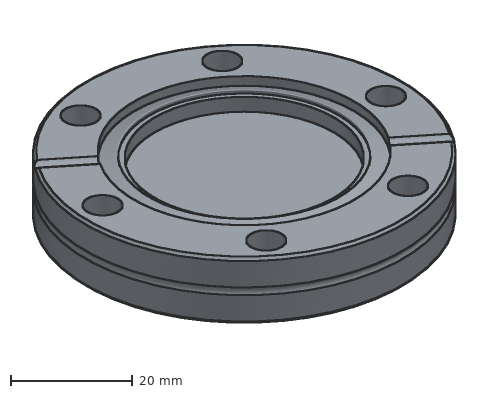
import cadquery as cq
import math

flange_diameter = 69.85
thickness = 12.7
edge_chamfer = 0.55

rim_groove_width = 1.5
rim_groove_depth = 0.2

recess_diameter = 48.4
recess_wall_depth = 1.85
knife_bore_diameter = 41.7
knife_tip_radius = 0.15
knife_slope = math.radians(20.0)
ledge_depth = 1.35
pocket_diameter = 39.5
pocket_depth = 4.2

bolt_count = 6
bolt_hole_diameter = 6.6
bolt_circle_diameter = 58.7

channel_width = 2.5
channel_depth = 0.6
channel_angles = (30.0, 210.0)

flange_radius = flange_diameter / 2
recess_radius = recess_diameter / 2
knife_bore_radius = knife_bore_diameter / 2
pocket_radius = pocket_diameter / 2


def revolved_body():
    """Disc with rim groove, gasket recess, knife edge and central pocket."""
    middle = thickness / 2
    tip_center_r = knife_bore_radius + knife_tip_radius
    cone_top_r = tip_center_r + knife_tip_radius * math.sin(knife_slope)
    cone_top_z = thickness - recess_wall_depth + (recess_radius - cone_top_r) * math.tan(knife_slope)
    tip_center_z = cone_top_z - knife_tip_radius * math.cos(knife_slope)
    profile = (
        cq.Workplane("XZ")
        .moveTo(0, 0)
        .lineTo(flange_radius - edge_chamfer, 0)
        .lineTo(flange_radius, edge_chamfer)
        .lineTo(flange_radius, middle - rim_groove_width / 2)
        .threePointArc(
            (flange_radius - rim_groove_depth, middle),
            (flange_radius, middle + rim_groove_width / 2),
        )
        .lineTo(flange_radius, thickness - edge_chamfer)
        .lineTo(flange_radius - edge_chamfer, thickness)
        .lineTo(recess_radius, thickness)
        .lineTo(recess_radius, thickness - recess_wall_depth)
        .lineTo(cone_top_r, cone_top_z)
        .threePointArc(
            (tip_center_r, tip_center_z + knife_tip_radius),
            (knife_bore_radius, tip_center_z),
        )
        .lineTo(knife_bore_radius, thickness - ledge_depth)
        .lineTo(pocket_radius, thickness - ledge_depth)
        .lineTo(pocket_radius, thickness - pocket_depth)
        .lineTo(0, thickness - pocket_depth)
        .close()
    )
    return profile.revolve(360, (0, 0, 0), (0, 1, 0))


def bolt_holes():
    """Through holes on the bolt circle, the first one on +X."""
    return (
        cq.Workplane("XY")
        .polarArray(bolt_circle_diameter / 2, 0, 360, bolt_count)
        .circle(bolt_hole_diameter / 2)
        .extrude(thickness)
    )


def leak_check_channel(angle):
    """Round-bottomed cutter running radially from the recess out past the rim."""
    round_radius = ((channel_width / 2) ** 2 + channel_depth**2) / (2 * channel_depth)
    return (
        cq.Workplane("YZ", origin=(recess_radius - channel_width / 2, 0, 0))
        .center(0, thickness - channel_depth + round_radius)
        .circle(round_radius)
        .extrude(flange_radius - recess_radius + channel_width)
        .rotate((0, 0, 0), (0, 0, 1), angle)
    )


result = revolved_body().cut(bolt_holes())
for channel_angle in channel_angles:
    result = result.cut(leak_check_channel(channel_angle))